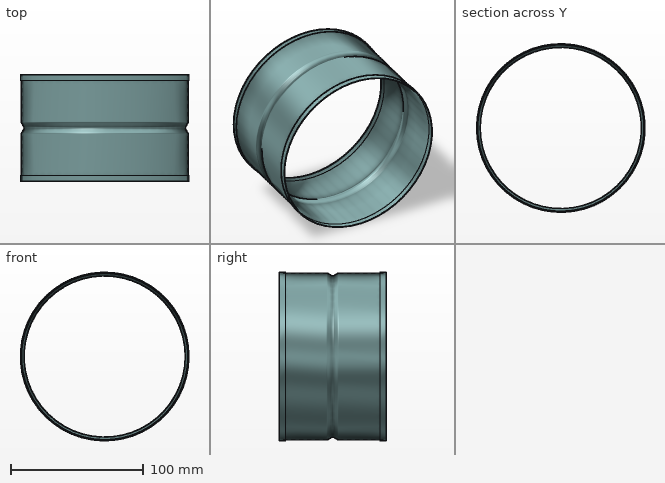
import cadquery as cq
import math

length = 81.0
sheet = 0.5
rim_diameter = 127.5
body_diameter = 126.3
groove_diameter = 122.2
hem_length = 4.8
flank_angle = math.radians(30)
shoulder_bend = 1.8
root_bend = 2.3

half_length = length / 2
rim_radius = rim_diameter / 2
body_radius = body_diameter / 2
bore_radius = body_radius - sheet
hem_inner_radius = rim_radius - sheet
groove_radius = groove_diameter / 2
fold_outer = (rim_radius - bore_radius) / 2
fold_inner = (hem_inner_radius - body_radius) / 2
fold_center_radius = bore_radius + fold_outer
fold_start = half_length - fold_outer
hem_edge = half_length - hem_length

root_center_radius = groove_radius + root_bend
shoulder_center_radius = body_radius - shoulder_bend
bend_sum = shoulder_bend + root_bend
flank_drop = body_radius - groove_radius - bend_sum * (1 - math.cos(flank_angle))
flank_run = flank_drop / math.tan(flank_angle)
shoulder_y = flank_run + bend_sum * math.sin(flank_angle)


def shoulder_point(radius, angle):
    """Profile point (radius, y) on the shoulder bend at y > 0."""
    return (
        shoulder_center_radius + radius * math.cos(angle),
        shoulder_y - radius * math.sin(angle),
    )


def root_point(radius, angle):
    """Profile point (radius, y) on the root bend at y > 0."""
    return (
        root_center_radius - radius * math.cos(angle),
        radius * math.sin(angle),
    )


def mirrored(point):
    return (point[0], -point[1])


def add_groove_face(profile, shoulder, root, side):
    """Draw one sheet face through the groove, starting on the given Y side (+1 or -1)."""

    def near(point):
        return (point[0], side * point[1])

    def far(point):
        return mirrored(near(point))

    shoulder_start = shoulder_point(shoulder, 0)
    shoulder_middle = shoulder_point(shoulder, flank_angle / 2)
    shoulder_end = shoulder_point(shoulder, flank_angle)
    root_start = root_point(root, flank_angle)
    return (
        profile.lineTo(*near(shoulder_start))
        .threePointArc(near(shoulder_middle), near(shoulder_end))
        .lineTo(*near(root_start))
        .threePointArc(root_point(root, 0), far(root_start))
        .lineTo(*far(shoulder_end))
        .threePointArc(far(shoulder_middle), far(shoulder_start))
    )


profile = cq.Workplane("XY").moveTo(body_radius, fold_start)
profile = add_groove_face(profile, shoulder_bend, root_bend, 1)
profile = profile.lineTo(body_radius, -fold_start)

profile = (
    profile.threePointArc(
        (fold_center_radius, -fold_start - fold_inner), (hem_inner_radius, -fold_start)
    )
    .lineTo(hem_inner_radius, -hem_edge)
    .lineTo(rim_radius, -hem_edge)
    .lineTo(rim_radius, -fold_start)
    .threePointArc((fold_center_radius, -half_length), (bore_radius, -fold_start))
)

profile = add_groove_face(profile, shoulder_bend - sheet, root_bend + sheet, -1)
profile = profile.lineTo(bore_radius, fold_start)

profile = (
    profile.threePointArc((fold_center_radius, half_length), (rim_radius, fold_start))
    .lineTo(rim_radius, hem_edge)
    .lineTo(hem_inner_radius, hem_edge)
    .lineTo(hem_inner_radius, fold_start)
    .threePointArc((fold_center_radius, fold_start + fold_inner), (body_radius, fold_start))
    .close()
)

result = profile.revolve(360, (0, 0, 0), (0, 1, 0))